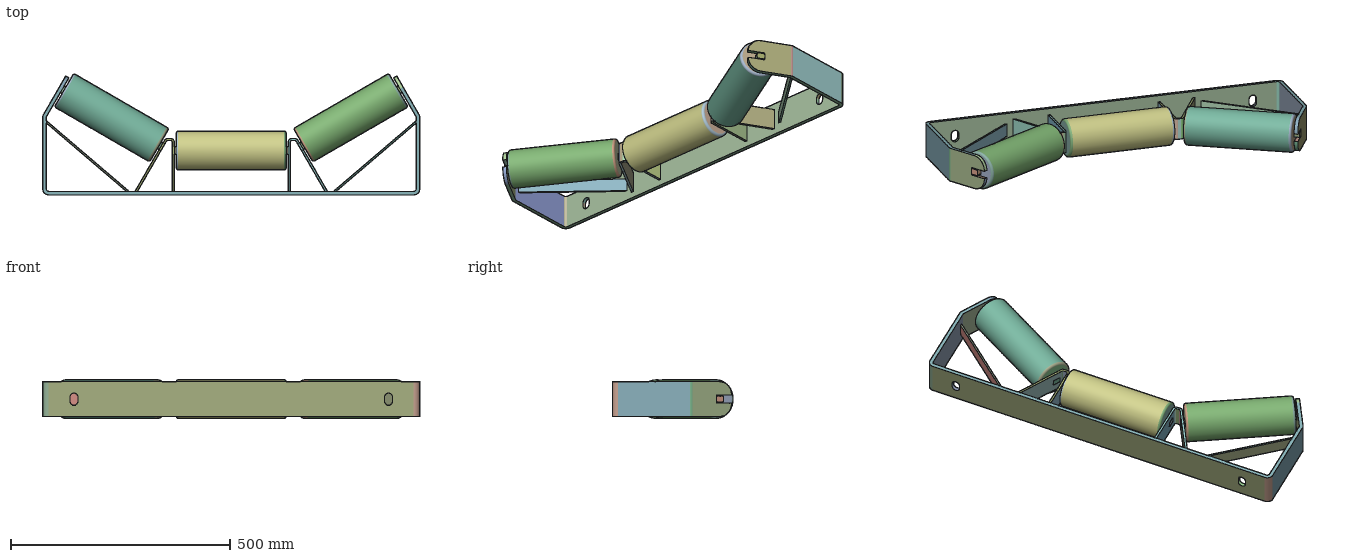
import cadquery as cq
import math

ROLLER_DIAMETER = 89.0
ROLLER_LENGTH = 251.0
ROLLER_EDGE_RADIUS = 5.0
SHAFT_WIDTH = 18.0
SHAFT_THICKNESS = 14.0
SHAFT_CORNER_RADIUS = 3.0
END_GAP = 4.0
TILT = 30
CENTRE_ROLLER_Y = 101.5
OUTER_ROLLER_X = 273.0
OUTER_ROLLER_Y = 176.0

FRAME_LENGTH = 860.0
FRAME_HEIGHT = 80.0
FRAME_THICKNESS = 9.0
BASE_BEND_RADIUS = 14.0
WING_BEND_RADIUS = 10.0
TIP_REACH = 30.0
TIP_RADIUS = 30.0
SLOT_WIDTH = 18.0
HOLE_WIDTH = 18.0
HOLE_HEIGHT = 27.5
HOLE_X = 359.0

BRACKET_THICKNESS = 5.0
BRACKET_HEIGHT = 50.0
BRACKET_TOP_Y = 129.0
BRACKET_BEND_RADIUS = 8.0
BRACE_THICKNESS = 4.0
BRACE_HEIGHT = 30.0
BRACE_WALL_Y = 169.0
BRACE_BASE_X = 233.0

SIDES = (-1, 1)
COS_TILT = math.cos(math.radians(TILT))
SIN_TILT = math.sin(math.radians(TILT))
PLATE_OFFSET = ROLLER_LENGTH / 2 + END_GAP


def beside_outer_roller(along, across):
    """Point on the +X side, from the outer roller's middle: along its axis outwards, and across it."""
    x = OUTER_ROLLER_X + along * COS_TILT - across * SIN_TILT
    y = OUTER_ROLLER_Y + along * SIN_TILT + across * COS_TILT
    return (x, y)


def on_wing_plane(along, x=None, y=None):
    """Point where the plane square to the outer roller's axis crosses the given x or y."""
    foot_x, foot_y = beside_outer_roller(along, 0)
    if x is None:
        return (foot_x - (y - foot_y) * SIN_TILT / COS_TILT, y)
    return (x, foot_y - (x - foot_x) * COS_TILT / SIN_TILT)


def mirrored(points):
    return [(-x, y) for x, y in points]


def plate(points, height):
    """Outline in the XY plane, extruded evenly to both sides of Z = 0."""
    return cq.Workplane("XY").polyline(points).close().extrude(height / 2, both=True)


def round_bend(body, point, radius):
    edge = cq.selectors.NearestToPointSelector((point[0], point[1], 0))
    return body.edges("|Z").edges(edge).fillet(radius)


def rounded_bar(start, end, thickness):
    """Bar along X with the width and rounded corners of a shaft end."""
    return (
        cq.Workplane("YZ", origin=(start, 0, 0))
        .rect(SHAFT_WIDTH, thickness)
        .extrude(end - start)
        .edges("|X")
        .fillet(SHAFT_CORNER_RADIUS)
    )


def shaft(start, end):
    return rounded_bar(start, end, SHAFT_THICKNESS)


def place_on_outer_axis(body):
    """Move a body modelled along X onto the axis of the +X side's outer roller."""
    return body.rotate((0, 0, 0), (0, 0, 1), TILT).translate((OUTER_ROLLER_X, OUTER_ROLLER_Y, 0))


def make_roller(inner_plate, outer_plate):
    """Roller along X whose shaft ends flush with the far faces of its two plates."""
    drum = (
        cq.Workplane("YZ", origin=(-ROLLER_LENGTH / 2, 0, 0))
        .circle(ROLLER_DIAMETER / 2)
        .extrude(ROLLER_LENGTH)
        .faces("<X or >X")
        .edges()
        .fillet(ROLLER_EDGE_RADIUS)
    )
    return drum.union(shaft(-PLATE_OFFSET - inner_plate, PLATE_OFFSET + outer_plate))


def make_frame():
    half = FRAME_LENGTH / 2
    inner_half = half - FRAME_THICKNESS
    outer_plane = PLATE_OFFSET + FRAME_THICKNESS

    outer_tip = beside_outer_roller(outer_plane, TIP_REACH)
    outer_knee = on_wing_plane(outer_plane, x=half)
    outer_foot = (half, 0)
    inner_tip = beside_outer_roller(PLATE_OFFSET, TIP_REACH)
    inner_knee = on_wing_plane(PLATE_OFFSET, x=inner_half)
    inner_foot = (inner_half, FRAME_THICKNESS)

    right_outer = [outer_foot, outer_knee, outer_tip]
    right_inner = [inner_tip, inner_knee, inner_foot]
    right = right_outer + right_inner
    frame = plate(right + mirrored(right)[::-1], FRAME_HEIGHT)

    bends = [
        (outer_foot, BASE_BEND_RADIUS),
        (inner_foot, BASE_BEND_RADIUS - FRAME_THICKNESS),
        (outer_knee, WING_BEND_RADIUS),
        (inner_knee, WING_BEND_RADIUS - FRAME_THICKNESS),
    ]
    for side in SIDES:
        for (x, y), radius in bends:
            frame = round_bend(frame, (side * x, y), radius)

    tip_x, tip_y = beside_outer_roller(PLATE_OFFSET + FRAME_THICKNESS / 2, TIP_REACH)
    for side in SIDES:
        for end in (-1, 1):
            corner = cq.selectors.NearestToPointSelector((side * tip_x, tip_y, end * FRAME_HEIGHT / 2))
            frame = frame.edges(corner).fillet(TIP_RADIUS)

    slot = rounded_bar(PLATE_OFFSET, outer_plane, SLOT_WIDTH).union(
        cq.Workplane("XY")
        .box(FRAME_THICKNESS, TIP_REACH, SLOT_WIDTH, centered=(False, False, True))
        .translate((PLATE_OFFSET, 0, 0))
    )
    right_slot = place_on_outer_axis(slot)
    frame = frame.cut(right_slot).cut(right_slot.mirror("YZ"))

    holes = (
        cq.Workplane("XZ")
        .pushPoints([(side * HOLE_X, 0) for side in SIDES])
        .slot2D(HOLE_HEIGHT, HOLE_WIDTH, 90)
        .extrude(-FRAME_THICKNESS)
    )
    return frame.cut(holes)


def make_bracket():
    """Bent strip on the +X side: its upright leg carries the centre roller, its tilted leg an outer one."""
    inside_plane = -PLATE_OFFSET - BRACKET_THICKNESS
    inside_x = PLATE_OFFSET + BRACKET_THICKNESS
    inside_y = BRACKET_TOP_Y - BRACKET_THICKNESS

    upright_top = (PLATE_OFFSET, BRACKET_TOP_Y)
    tilted_top = on_wing_plane(-PLATE_OFFSET, y=BRACKET_TOP_Y)
    inside_upright_top = (inside_x, inside_y)
    inside_tilted_top = on_wing_plane(inside_plane, y=inside_y)
    outline = [
        (PLATE_OFFSET, FRAME_THICKNESS),
        upright_top,
        tilted_top,
        on_wing_plane(-PLATE_OFFSET, y=FRAME_THICKNESS),
        on_wing_plane(inside_plane, y=FRAME_THICKNESS),
        inside_tilted_top,
        inside_upright_top,
        (inside_x, FRAME_THICKNESS),
    ]
    bracket = plate(outline, BRACKET_HEIGHT)
    for point in (upright_top, tilted_top):
        bracket = round_bend(bracket, point, BRACKET_BEND_RADIUS)
    for point in (inside_upright_top, inside_tilted_top):
        bracket = round_bend(bracket, point, BRACKET_BEND_RADIUS - BRACKET_THICKNESS)

    upright_hole = shaft(PLATE_OFFSET, inside_x).translate((0, CENTRE_ROLLER_Y, 0))
    tilted_hole = place_on_outer_axis(shaft(inside_plane, -PLATE_OFFSET))
    return bracket.cut(upright_hole).cut(tilted_hole)


def make_brace():
    """Flat diagonal strip on the +X side between the base and the side wall."""
    wall_x = FRAME_LENGTH / 2 - FRAME_THICKNESS
    slope = math.atan2(BRACE_WALL_Y - FRAME_THICKNESS, wall_x - BRACE_BASE_X)
    outline = [
        (BRACE_BASE_X, FRAME_THICKNESS),
        (wall_x, BRACE_WALL_Y),
        (wall_x, BRACE_WALL_Y - BRACE_THICKNESS / math.cos(slope)),
        (BRACE_BASE_X + BRACE_THICKNESS / math.sin(slope), FRAME_THICKNESS),
    ]
    return plate(outline, BRACE_HEIGHT)


def left_and_right(body):
    """A +X side body and its mirror copy on the -X side, as two solids."""
    return [body.val(), body.mirror("YZ").val()]


frame = make_frame()
brackets = left_and_right(make_bracket())
braces = left_and_right(make_brace())
centre_roller = make_roller(BRACKET_THICKNESS, BRACKET_THICKNESS).translate((0, CENTRE_ROLLER_Y, 0))
outer_rollers = left_and_right(place_on_outer_axis(make_roller(BRACKET_THICKNESS, FRAME_THICKNESS)))

result = cq.Compound.makeCompound([frame.val(), *brackets, *braces, centre_roller.val(), *outer_rollers])